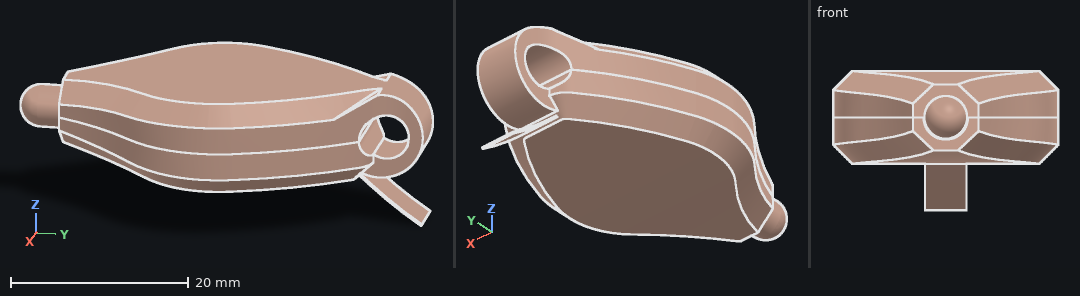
import cadquery as cq
import math


belly_radius = 12.7
belly_center_y = -1.1
belly_front_angle = -41.7
belly_rear_angle = 18.1
front_y = -18.75
front_half_width = 3.7
front_flank_sag = 0.45
shoulder_x = 5.9
shoulder_y = 15.0
shoulder_angle = 36.0
flare_radius = 6.55

half_height = 5.25
top_bend_radius = 116.45
chamfer_size = 2.15

hook_radius = 5.05
hook_rear_y = 22.95
hook_y = hook_rear_y - hook_radius
hook_z = half_height - hook_radius
hook_half_width = 2.9
hook_hole_diameter = 5.3
hook_hole_y = 18.7
hook_hole_z = 0.1
flare_end_y = 21.2
ramp_angle = 26.0

nose_y = 17.3
nose_half_width = 4.12
nose_corner_radius = 3.0

lamp_diameter = 4.85
lamp_tip_y = -23.9
lamp_depth = 2.35
lower_lamp_hole_diameter = 5.0

spring_width = 4.75
spring_thickness = 0.2
spring_bend_y = 16.9
spring_bend_z = -6.05
spring_root_heading = -41.4
spring_tip_heading = -32.7
spring_radius = 47.8
spring_root_length = 3.75

cut_width = 2 * belly_radius


def belly_point(angle):
    """Point of the right-hand belly arc at an angle in degrees from +X."""
    turn = math.radians(angle)
    return belly_radius * math.cos(turn), belly_center_y + belly_radius * math.sin(turn)


def half_outline():
    """Right-hand outline from the front edge to the rear of the belly, left open there."""
    belly_start = belly_point(belly_front_angle)
    return (
        cq.Workplane("XY")
        .moveTo(0, front_y)
        .lineTo(front_half_width, front_y)
        .sagittaArc(belly_start, front_flank_sag)
        .threePointArc(belly_point(0), belly_point(belly_rear_angle))
    )


def upper_prism():
    """Upper half in plan, narrowed at the rear to the width of the hook."""
    slope = math.radians(shoulder_angle)
    flare_x = hook_half_width + flare_radius

    def flare_point(angle):
        return flare_x - flare_radius * math.cos(angle), flare_end_y - flare_radius * math.sin(angle)

    outline = (
        half_outline()
        .tangentArcPoint((shoulder_x, shoulder_y), relative=False)
        .lineTo(*flare_point(slope))
        .threePointArc(flare_point(slope / 2), flare_point(0))
        .lineTo(hook_half_width, hook_rear_y)
        .lineTo(0, hook_rear_y)
        .mirrorY()
    )
    return outline.extrude(half_height).clean()


def lower_prism():
    """Lower half in plan, with a flat rear end and rounded corners."""
    outline = (
        half_outline()
        .tangentArcPoint((nose_half_width, nose_y), relative=False)
        .lineTo(0, nose_y)
        .mirrorY()
    )
    prism = outline.extrude(-half_height).clean()
    return prism.edges("|Z").edges(">Y").fillet(nose_corner_radius)


def side_profile(rear_y, side):
    """Slab from z = 0 to the outer face; side is 1 above the parting plane and -1 below it."""
    front_sweep = math.asin(-front_y / top_bend_radius)

    def bend_point(sweep):
        drop = top_bend_radius * (1 - math.cos(sweep))
        return -top_bend_radius * math.sin(sweep), side * (half_height - drop)

    return (
        cq.Workplane("YZ")
        .moveTo(front_y, 0)
        .lineTo(rear_y, 0)
        .lineTo(rear_y, side * half_height)
        .lineTo(0, side * half_height)
        .threePointArc(bend_point(front_sweep / 2), bend_point(front_sweep))
        .close()
        .extrude(cut_width, both=True)
    )


def rod_along_x(diameter, y, z):
    """Cylinder across the body."""
    return cq.Workplane("YZ").center(y, z).circle(diameter / 2).extrude(cut_width, both=True)


def rod_along_y(diameter, start_y, end_y):
    """Cylinder on the body axis."""
    rod = cq.Workplane("XZ", origin=(0, start_y, 0)).circle(diameter / 2)
    return rod.extrude(start_y - end_y)


def outer_face_edges(solid, side):
    """Edges between the side walls and the outer face, without those straight across the body."""
    lowest_edge = half_height - front_y**2 / top_bend_radius
    heights = sorted((side * lowest_edge, side * (half_height + chamfer_size)))
    edge_zone = cq.selectors.BoxSelector(
        (-cut_width, front_y, heights[0]), (cut_width, nose_y, heights[1])
    )
    return solid.edges(edge_zone).edges("not(|X or |Z)")


def ramp_wedge():
    """Wedge that falls from the crest of the hook toward the lamp."""
    ramp_length = half_height / math.tan(math.radians(ramp_angle))
    wedge = cq.Workplane("YZ").moveTo(hook_y, 0).lineTo(hook_y, half_height).lineTo(hook_y - ramp_length, 0)
    return wedge.close().extrude(cut_width, both=True)


def make_lamp():
    """Round barrel with a hemispherical tip."""
    lamp_radius = lamp_diameter / 2
    dome_y = lamp_tip_y + lamp_radius
    barrel = rod_along_y(lamp_diameter, front_y + lamp_depth, dome_y)
    dome = cq.Workplane("XY", origin=(0, dome_y, 0)).sphere(lamp_radius)
    return barrel.union(dome)


def make_spring():
    """Thin strip with a straight root and a blade of constant curvature."""
    root = math.radians(spring_root_heading)
    tip = math.radians(spring_tip_heading)
    center_y = spring_bend_y - spring_radius * math.sin(root)
    center_z = spring_bend_z + spring_radius * math.cos(root)
    inner = spring_radius - spring_thickness / 2
    outer = spring_radius + spring_thickness / 2

    def blade_point(radius, heading):
        return center_y + radius * math.sin(heading), center_z - radius * math.cos(heading)

    def root_point(radius):
        y, z = blade_point(radius, root)
        return y - spring_root_length * math.cos(root), z - spring_root_length * math.sin(root)

    middle = (root + tip) / 2
    return (
        cq.Workplane("YZ")
        .moveTo(*root_point(inner))
        .lineTo(*blade_point(inner, root))
        .threePointArc(blade_point(inner, middle), blade_point(inner, tip))
        .lineTo(*blade_point(outer, tip))
        .threePointArc(blade_point(outer, middle), blade_point(outer, root))
        .lineTo(*root_point(outer))
        .close()
        .extrude(spring_width / 2, both=True)
    )


def make_lower_half(spring):
    """Lower shell with a loose half hole for the lamp and a slot filled by the spring root."""
    shell = lower_prism().intersect(side_profile(nose_y, -1))
    shell = outer_face_edges(shell, -1).chamfer(chamfer_size)
    lamp_hole = rod_along_y(lower_lamp_hole_diameter, front_y + lamp_depth, front_y)
    hook_hole = rod_along_x(hook_hole_diameter, hook_hole_y, hook_hole_z)
    return shell.cut(lamp_hole).cut(hook_hole).cut(spring)


def make_upper_half(lower_half, lamp):
    """Upper shell with the hook, which wraps down behind the nose of the lower half."""
    prism = upper_prism()
    shell = prism.intersect(side_profile(hook_y, 1))
    shell = outer_face_edges(shell, 1).chamfer(chamfer_size)

    hook_disc = rod_along_x(2 * hook_radius, hook_y, hook_z)
    behind_crest = cq.Workplane("XY", origin=(0, hook_y, 0)).box(
        cut_width, hook_radius, half_height, centered=(True, False, False)
    )
    hook_top = prism.intersect(hook_disc).intersect(behind_crest)
    ramp = prism.intersect(ramp_wedge())
    below_parting = cq.Workplane("XY", origin=(0, hook_y, -hook_radius)).box(
        2 * hook_half_width, 2 * hook_radius, hook_radius, centered=(True, True, False)
    )
    hook_bottom = hook_disc.intersect(below_parting)
    body = shell.union(hook_top).union(ramp).union(hook_bottom)
    hook_hole = rod_along_x(hook_hole_diameter, hook_hole_y, hook_hole_z)
    return body.cut(hook_hole).cut(lower_half).cut(lamp)


lamp = make_lamp()
spring = make_spring()
lower_half = make_lower_half(spring)
upper_half = make_upper_half(lower_half, lamp)

bodies = [upper_half, lower_half, lamp, spring]
result = cq.Compound.makeCompound([body.solids().val() for body in bodies])